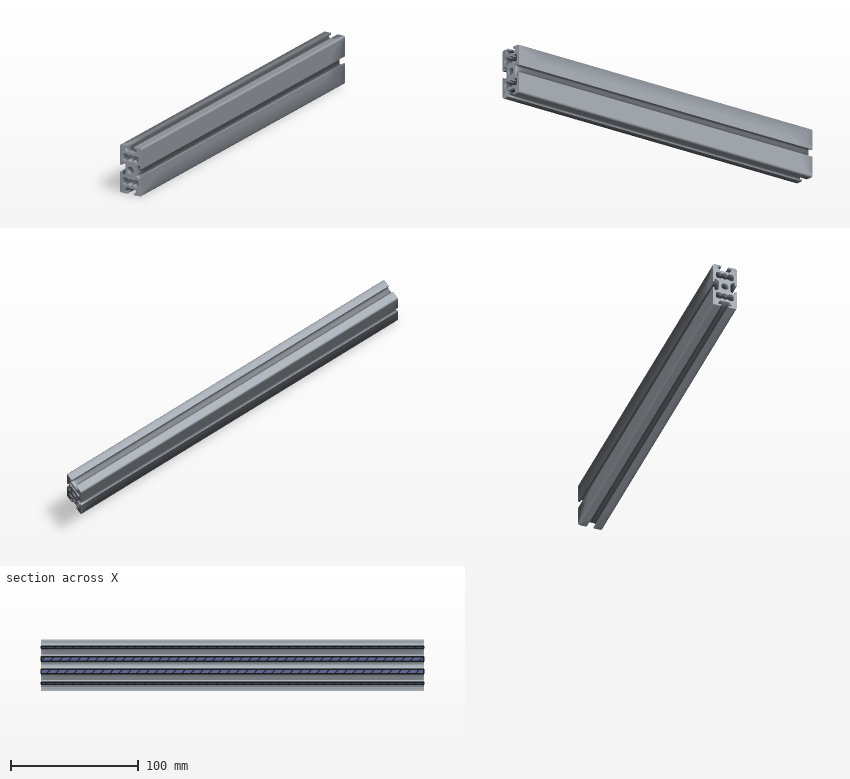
import cadquery as cq

length = 300.0
width = 60.0 / 3
height = 2 * width
corner_radius = 1.5

opening_half_width = 3.0
lip_thickness = 1.5
cavity_half_width = 5.5
taper_start_depth = 3.0
floor_depth = 5.0
floor_half_width = 4.0

bore_radius = 3.0
lobe_width = 5.0
lobe_corner_radius = 1.8
hollow_half_width = 7.5
lobe_offset = hollow_half_width - lobe_width / 2
hollow_offset = height / 4


def t_slot(face_distance, angle):
    """T-slot cut into the top face, then turned about the length axis."""
    lip_z = face_distance - lip_thickness
    taper_z = face_distance - taper_start_depth
    floor_z = face_distance - floor_depth
    right_side = [
        (opening_half_width, face_distance),
        (opening_half_width, lip_z),
        (cavity_half_width, lip_z),
        (cavity_half_width, taper_z),
        (floor_half_width, floor_z),
    ]
    left_side = [(-x, z) for x, z in reversed(right_side)]
    slot = (
        cq.Workplane("XZ")
        .polyline(right_side + left_side)
        .close()
        .extrude(length / 2, both=True)
    )
    return slot.rotate((0, 0, 0), (0, 1, 0), angle)


def bore(z):
    """Round bore running the full length at height z."""
    return cq.Workplane("XZ").center(0, z).circle(bore_radius).extrude(length / 2, both=True)


def lobe(x, z):
    """Rounded rectangular passage, as tall as a bore, running the full length."""
    block = cq.Workplane("XY").box(lobe_width, length, 2 * bore_radius)
    return block.edges("|Y").fillet(lobe_corner_radius).translate((x, 0, z))


result = cq.Workplane("XY").box(width, length, height).edges("|Y").fillet(corner_radius)

for slot_angle in (0, 180):
    result = result.cut(t_slot(height / 2, slot_angle))
for slot_angle in (90, 270):
    result = result.cut(t_slot(width / 2, slot_angle))

result = result.cut(bore(0))
for hollow_z in (-hollow_offset, hollow_offset):
    result = result.cut(bore(hollow_z))
    for lobe_x in (-lobe_offset, lobe_offset):
        result = result.cut(lobe(lobe_x, hollow_z))